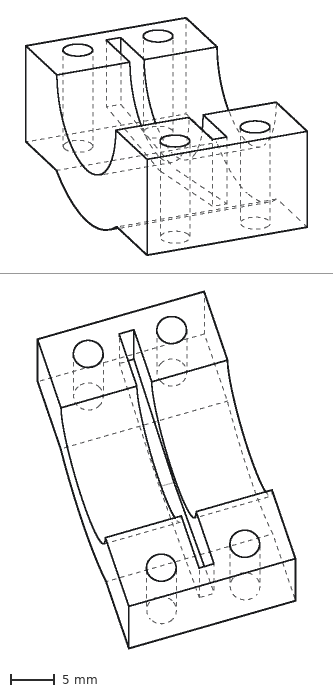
import cadquery as cq
import math

length = 35.0
depth = 20.0
height = 14.8
flange_height = 12.0

axis_height = 0.1
bore_radius = 8.5
belly_radius = height + axis_height

hole_diameter = 3.4
hole_spacing_x = 28.0
hole_spacing_y = 10.0

slot_length = 30.65
slot_width = 1.8
slot_depth = 10.08
slot_floor_angle = 6.5


def block(block_height):
    """Full-length block hanging down from the top face."""
    return cq.Workplane("XY").rect(length, depth).extrude(-block_height)


def cylinder_on_axis(radius):
    return cq.Workplane("XZ").center(0, axis_height).circle(radius).extrude(depth / 2, both=True)


def make_body():
    belly = cylinder_on_axis(belly_radius).intersect(block(height))
    return block(flange_height).union(belly).cut(cylinder_on_axis(bore_radius))


def make_bolt_holes():
    centers = cq.Workplane("XY").rarray(hole_spacing_x, hole_spacing_y, 2, 2)
    return centers.circle(hole_diameter / 2).extrude(-height)


def make_slot():
    half_length = slot_length / 2
    end_depth = slot_depth - half_length * math.tan(math.radians(slot_floor_angle))
    outline = [
        (-half_length, 0),
        (half_length, 0),
        (half_length, -end_depth),
        (0, -slot_depth),
        (-half_length, -end_depth),
    ]
    return cq.Workplane("XZ").polyline(outline).close().extrude(slot_width / 2, both=True)


result = make_body().cut(make_bolt_holes()).cut(make_slot())